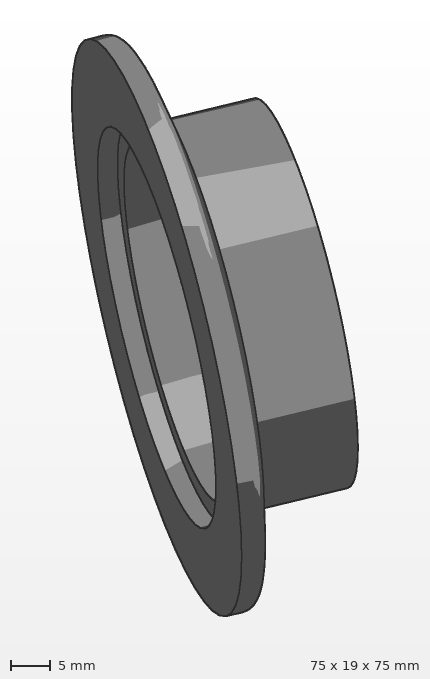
import cadquery as cq
import math

flange_diameter = 75.0
total_length = 19.0
tube_diameter = 50.7
bore_diameter = 46.5

flange_thickness = 5.2
cone_angle = 15.0
cone_top_diameter = 60.0
rim_fillet = 1.3

recess_diameter = 52.2
recess_depth = 2.6

flange_radius = flange_diameter / 2
cone_top_radius = cone_top_diameter / 2
cone_height = (flange_radius - cone_top_radius) * math.tan(math.radians(cone_angle))
rim_height = flange_thickness - cone_height


def disc(diameter, length):
    """Cylinder along +Y starting at the sealing face, Y = 0."""
    return cq.Workplane("XZ").circle(diameter / 2).extrude(-length)


def make_flange():
    """Disc with a conical clamping face and a rounded outer rim."""
    profile = (
        cq.Workplane("XY")
        .moveTo(0, 0)
        .lineTo(flange_radius, 0)
        .lineTo(flange_radius, rim_height)
        .lineTo(cone_top_radius, flange_thickness)
        .lineTo(0, flange_thickness)
        .close()
    )
    flange = profile.revolve(360, (0, 0, 0), (0, 1, 0))
    rim_center = (0, rim_height, 0)
    return flange.edges("%CIRCLE").edges(cq.NearestToPointSelector(rim_center)).fillet(rim_fillet)


body = make_flange().union(disc(tube_diameter, total_length))
bore = disc(bore_diameter, total_length)
recess = disc(recess_diameter, recess_depth)
result = body.cut(bore).cut(recess)